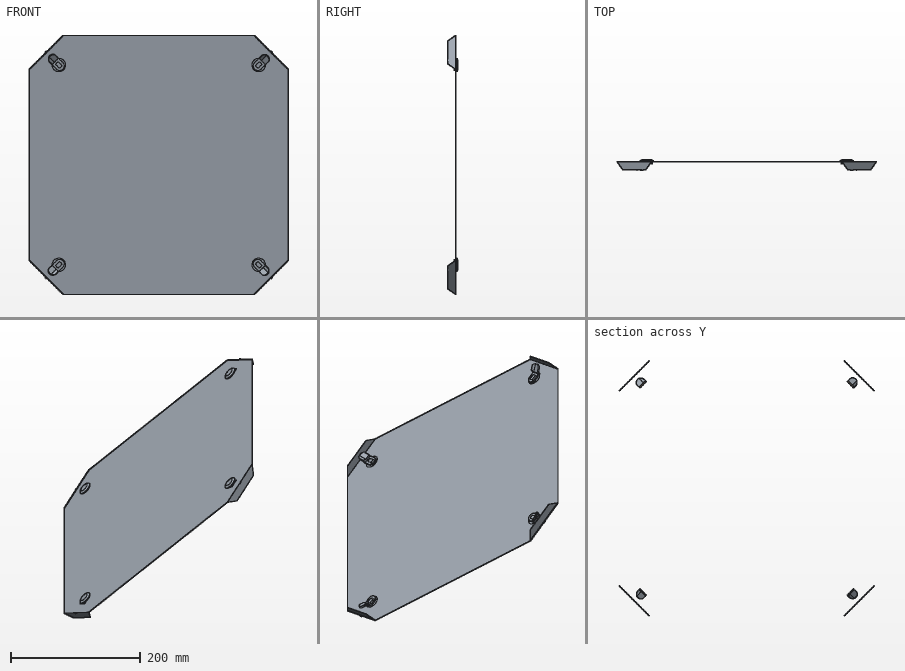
import cadquery as cq
import math


panel_side = 401.33
corner_cut = 52.3
sheet = 1.0
flange_height = 12.0
tab_width = 3.0
tab_reach = 1.2
corner_distance = (panel_side - corner_cut) / math.sqrt(2)
corner_edge = corner_cut * math.sqrt(2)
quarter_turns = [45, 135, 225, 315]

latch_distance = 218.8
head_base_radius = 10.4
head_top_radius = 6.6
head_rim = 1.5
head_height = 3.3
shaft_width = 5.9
shaft_side = 8.2
shaft_length = 9.2

cam_thickness = 2.5
cam_width = 14.0
pad_end = 9.0
pad_side_end = 0.3
bend_distance = 7.8
leg_thickness = 2.5
tongue_angle = 30.0
tongue_length = 12.9
tip_width = 14.6
tongue_tip_radius = 7.0
fold_offset = 1.9
fold_angle = 30.0
step_height = 3.08


def turned(shape, angle):
    """Copy turned about the panel's centre."""
    return shape.rotate((0, 0, 0), (0, 0, 1), angle)


def shaft_bar(start, end):
    """Bar with two flats and slightly bowed ends, between two heights."""
    return (
        cq.Workplane()
        .workplane(offset=start)
        .moveTo(-shaft_side / 2, -shaft_width / 2)
        .lineTo(shaft_side / 2, -shaft_width / 2)
        .threePointArc((shaft_length / 2, 0), (shaft_side / 2, shaft_width / 2))
        .lineTo(-shaft_side / 2, shaft_width / 2)
        .threePointArc((-shaft_length / 2, 0), (-shaft_side / 2, -shaft_width / 2))
        .close()
        .extrude(end - start)
    )


def make_flange():
    """Corner flange with 45 degree mitred ends and a small tab at the middle of its fold."""
    half_edge = corner_edge / 2
    half_lip = half_edge - flange_height
    flange = (
        cq.Workplane("YZ", origin=(corner_distance - sheet, 0, 0))
        .moveTo(-half_edge, -sheet)
        .lineTo(half_edge, -sheet)
        .lineTo(half_edge, 0)
        .lineTo(half_lip, flange_height)
        .lineTo(-half_lip, flange_height)
        .lineTo(-half_edge, 0)
        .close()
        .extrude(sheet)
    )
    tab = (
        cq.Workplane()
        .box(sheet + tab_reach, tab_width, sheet, centered=(False, True, False))
        .translate((corner_distance - sheet, 0, -sheet))
    )
    return flange.union(tab)


def make_panel():
    """Panel with its flanges, pierced at each corner by the hole for a latch shaft."""
    panel = (
        cq.Workplane()
        .workplane(offset=-sheet)
        .rect(panel_side, panel_side)
        .extrude(sheet)
        .edges("|Z")
        .chamfer(corner_cut)
    )
    flange = make_flange()
    shaft_hole = shaft_bar(-sheet, 0).translate((latch_distance, 0, 0))
    for angle in quarter_turns:
        panel = panel.union(turned(flange, angle)).cut(turned(shaft_hole, angle))
    return panel


def make_head():
    """Conical head behind the panel, in one piece with the shaft that passes through to the cam."""
    back_face = -sheet
    head = (
        cq.Workplane("XZ")
        .moveTo(0, back_face)
        .lineTo(head_base_radius, back_face)
        .lineTo(head_base_radius, back_face - head_rim)
        .lineTo(head_top_radius, back_face - head_height)
        .lineTo(0, back_face - head_height)
        .close()
        .revolve(360, (0, 0, 0), (0, 1, 0))
    )
    return head.union(shaft_bar(-sheet, cam_thickness))


def make_tongue():
    """Sloping tongue: a strip folded along its length, rounded at the tip and cut upright at the step."""
    half_width = cam_width / 2
    fold = math.radians(fold_angle)
    side_length = half_width - fold_offset
    inner_edge_y = fold_offset + side_length * math.cos(fold)
    inner_edge_z = side_length * math.sin(fold)
    underside_fold_y = fold_offset + cam_thickness * math.tan(fold / 2)
    length_behind_step = cam_thickness + step_height
    strip = (
        cq.Workplane("YZ", origin=(-length_behind_step, 0, 0))
        .moveTo(-half_width, 0)
        .lineTo(fold_offset, 0)
        .lineTo(inner_edge_y, inner_edge_z)
        .lineTo(inner_edge_y + cam_thickness * math.sin(fold), inner_edge_z - cam_thickness * math.cos(fold))
        .lineTo(underside_fold_y, -cam_thickness)
        .lineTo(-half_width, -cam_thickness)
        .close()
        .extrude(length_behind_step + tongue_length)
    )
    rounded_tip = (
        cq.Workplane()
        .box(2 * tongue_length, tip_width, 4 * cam_width)
        .edges("|Z and >X")
        .fillet(tongue_tip_radius)
    )
    tongue = strip.intersect(rounded_tip).rotate((0, 0, 0), (0, 1, 0), -tongue_angle)
    tongue = tongue.translate((bend_distance, 0, cam_thickness + step_height))
    beyond_step = (
        cq.Workplane()
        .box(2 * tongue_length, 2 * cam_width, 4 * tongue_length, centered=(False, True, True))
        .translate((bend_distance, 0, 0))
    )
    return tongue.intersect(beyond_step)


def make_cam():
    """Pad, upright step and tongue in one piece, with the hole for the shaft."""
    half_width = cam_width / 2
    pad = (
        cq.Workplane()
        .moveTo(bend_distance + leg_thickness, -half_width)
        .lineTo(bend_distance + leg_thickness, half_width)
        .lineTo(-pad_side_end, half_width)
        .threePointArc((-pad_end, 0), (-pad_side_end, -half_width))
        .close()
        .extrude(cam_thickness)
    )
    leg = (
        cq.Workplane()
        .box(leg_thickness, cam_width, step_height, centered=(False, True, False))
        .translate((bend_distance, 0, cam_thickness))
    )
    return pad.union(leg).union(make_tongue()).cut(shaft_bar(0, cam_thickness))


bodies = [make_panel().val()]
for latch_part in (make_head(), make_cam()):
    placed = latch_part.translate((latch_distance, 0, 0))
    for angle in quarter_turns:
        bodies.append(turned(placed, angle).val())

result = cq.Compound.makeCompound(bodies).rotate(cq.Vector(0, 0, 0), cq.Vector(1, 0, 0), 90)